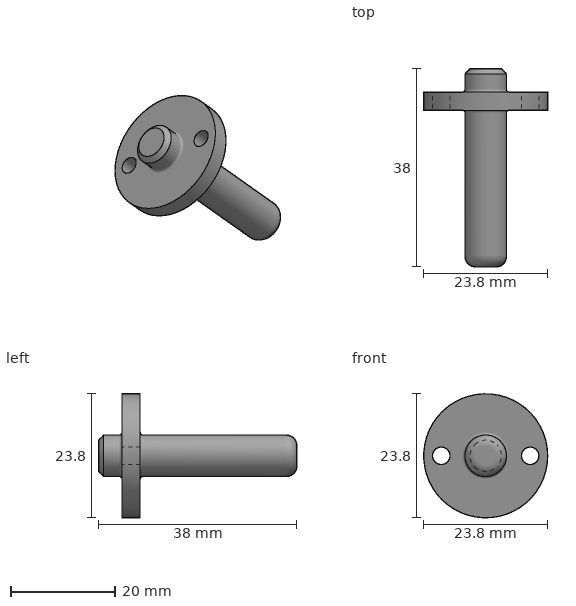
import cadquery as cq

total_length = 38.0
flange_diameter = 23.8
flange_thickness = 3.5
pin_diameter = 7.98
stub_length = 4.5

nose_radius = 2.0
stub_chamfer = 1.0
root_fillet = 0.5

hole_diameter = 3.3
hole_offset = 8.5

flange_radius = flange_diameter / 2
pin_radius = pin_diameter / 2
pin_length = total_length - stub_length - flange_thickness


def cylinder_along_y(radius, start, length):
    """Cylinder centred on the Y axis, growing toward +Y from start."""
    return cq.Workplane("XZ", origin=(0, start, 0)).circle(radius).extrude(-length)


flange = cylinder_along_y(flange_radius, 0, flange_thickness)
long_pin = cylinder_along_y(pin_radius, -pin_length, pin_length).faces("<Y").edges().fillet(nose_radius)
stub = cylinder_along_y(pin_radius, flange_thickness, stub_length).faces(">Y").edges().chamfer(stub_chamfer)
body = flange.union(long_pin).union(stub)

for root_y in (0, flange_thickness):
    root_edge = cq.selectors.BoxSelector(
        (-pin_diameter, root_y - root_fillet / 2, -pin_diameter),
        (pin_diameter, root_y + root_fillet / 2, pin_diameter),
        boundingbox=True,
    )
    body = body.edges(root_edge).fillet(root_fillet)

holes = (
    cq.Workplane("XZ")
    .pushPoints([(-hole_offset, 0), (hole_offset, 0)])
    .circle(hole_diameter / 2)
    .extrude(-flange_thickness)
)
result = body.cut(holes)